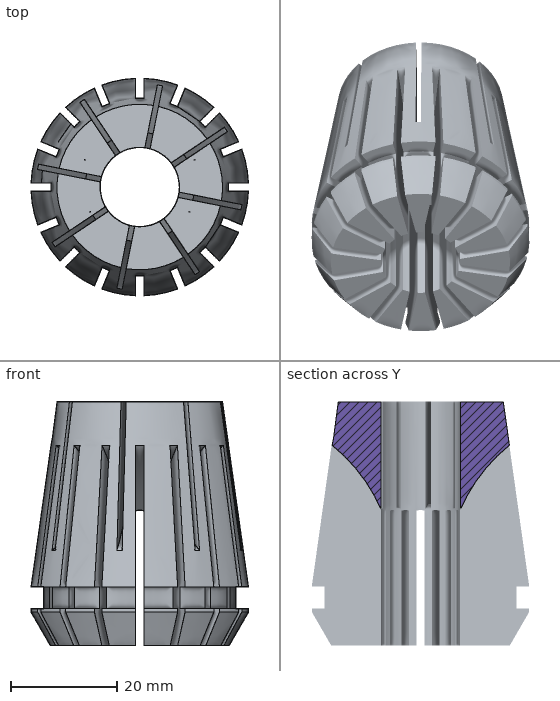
import cadquery as cq
import math

height = 46.0
largest_radius = 20.5
bore_radius = 7.45
taper_angle = 8.0
nose_angle = 30.0
nose_height = 6.3
groove_bottom = 6.95
groove_top = 11.05
groove_radius = 18.12

nose_slot_count = 16
nose_slot_width = 1.5
nose_slot_mouth_z = 37.75
nose_slot_bore_z = 25.5

top_slot_count = 8
top_slot_width = 1.0
top_slot_first_angle = 180.0 / nose_slot_count
top_slot_mouth_z = 17.95
top_slot_ridge_radius = 10.3
top_slot_ridge_z = 26.7

blade_radius = 31.75
dish_radius = 29.45


def taper_radius_at(z):
    return largest_radius - (z - groove_top) * math.tan(math.radians(taper_angle))


def disc_centre(start, end, radius):
    """Centre (r, z) of the disc whose edge passes through both points, on the right of start to end."""
    run = end[0] - start[0]
    rise = end[1] - start[1]
    chord = math.hypot(run, rise)
    offset = math.sqrt(radius**2 - (chord / 2) ** 2)
    centre_r = (start[0] + end[0]) / 2 + offset * rise / chord
    centre_z = (start[1] + end[1]) / 2 - offset * run / chord
    return centre_r, centre_z


def saw_disc(centre, radius, width):
    """Disc of the given thickness, lying in the XZ plane and centred on it."""
    return cq.Workplane("XZ").center(*centre).circle(radius).extrude(width / 2, both=True)


def make_body():
    nose_radius = largest_radius - nose_height * math.tan(math.radians(nose_angle))
    profile = [
        (bore_radius, 0),
        (nose_radius, 0),
        (largest_radius, nose_height),
        (largest_radius, groove_bottom),
        (groove_radius, groove_bottom),
        (groove_radius, groove_top),
        (largest_radius, groove_top),
        (taper_radius_at(height), height),
        (bore_radius, height),
    ]
    return cq.Workplane("XZ").polyline(profile).close().revolve(360, (0, 0), (0, 1))


def make_nose_slot():
    """Disc cut curving down from the taper to the bore, carried straight out through the nose."""
    mouth = (taper_radius_at(nose_slot_mouth_z), nose_slot_mouth_z)
    bore_end = (bore_radius, nose_slot_bore_z)
    centre = disc_centre(bore_end, mouth, blade_radius)
    run_out = cq.Workplane("XY").box(
        centre[0], nose_slot_width, centre[1], centered=(False, True, False)
    )
    return saw_disc(centre, blade_radius, nose_slot_width).union(run_out)


def make_top_slot():
    """Disc cut rising from the taper to the ridge, then dished down to the bore."""
    mouth = (taper_radius_at(top_slot_mouth_z), top_slot_mouth_z)
    ridge = (top_slot_ridge_radius, top_slot_ridge_z)
    centre = disc_centre(mouth, ridge, blade_radius)
    dish_height = math.sqrt(dish_radius**2 - top_slot_ridge_radius**2)
    dish_centre = (0, top_slot_ridge_z + dish_height)
    outer_cut = saw_disc(centre, blade_radius, top_slot_width)
    return outer_cut.union(saw_disc(dish_centre, dish_radius, top_slot_width))


def cut_around(body, slot, count, first_angle):
    for i in range(count):
        body = body.cut(slot.rotate((0, 0, 0), (0, 0, 1), first_angle + i * 360 / count))
    return body


result = make_body()
result = cut_around(result, make_nose_slot(), nose_slot_count, 0)
result = cut_around(result, make_top_slot(), top_slot_count, -top_slot_first_angle)